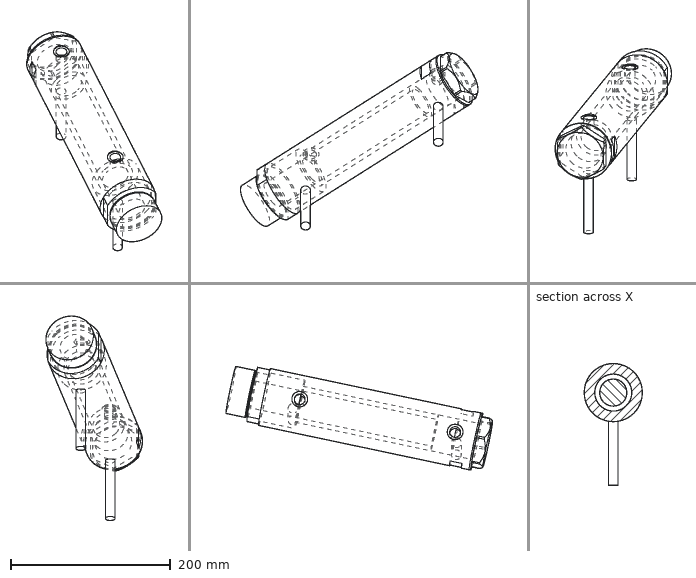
import cadquery as cq
import math


TOTAL_LENGTH = 328.5
CAP_FLANGE_START = 14.0
BARREL_START = 16.0
BARREL_END = 285.5
GLAND_END = 301.3
OUTER_RADIUS = 36.5

BORE_RADIUS = 23.0
GLAND_SEAT_RADIUS = 31.0

CAP_PORT_X = 41.7
ROD_PORT_X = 240.5
PORT_DIAMETER = 13.5
SPOTFACE_DIAMETER = 19.7
SPOTFACE_DEPTH = 1.48

PIN_X_POSITIONS = (40.0, 249.0)
PIN_DIAMETER = 12.0
PIN_BOTTOM_Z = -116.0

BARREL_FLAT_START = 26.0
BARREL_FLAT_WIDTH = 15.0
BARREL_FLAT_ACROSS = 67.0
GLAND_FLAT_ACROSS = 64.0

HEX_ACROSS_FLATS = 59.8
HEX_CORNER_RADIUS = 34.0
HEX_FACE_RADIUS = 29.5
HEX_CHAMFER_LENGTH = 4.3

ROD_RADIUS = 17.0
PISTON_LENGTH = 26.3
ROD_HEAD_RADIUS = 30.2
ROD_HEAD_CHAMFER = 1.0
ROD_HEAD_START = 303.0


def cylinder_x(start, end, radius):
    """Solid cylinder on the X axis from start to end."""
    return cq.Workplane("YZ", origin=(start, 0, 0)).circle(radius).extrude(end - start)


def cylinder_z(x, bottom, top, diameter):
    """Solid vertical cylinder centred at (x, 0)."""
    return cq.Workplane("XY", origin=(x, 0, bottom)).circle(diameter / 2).extrude(top - bottom)


def flat_cutters(start, end, across):
    """Two blocks that leave a pair of flats facing -Y and +Y."""
    depth = OUTER_RADIUS - across / 2
    offset = across / 2 + depth / 2
    block = cq.Workplane("XY").box(end - start, depth, 2 * OUTER_RADIUS)
    middle = (start + end) / 2
    return block.translate((middle, -offset, 0)).union(block.translate((middle, offset, 0)))


def make_barrel():
    barrel = cylinder_x(BARREL_START, BARREL_END, OUTER_RADIUS)
    for x in PIN_X_POSITIONS:
        barrel = barrel.union(cylinder_z(x, PIN_BOTTOM_Z, -BORE_RADIUS, PIN_DIAMETER))

    barrel = barrel.cut(cylinder_x(BARREL_START, BARREL_END, BORE_RADIUS))
    barrel = barrel.cut(cylinder_x(ROD_PORT_X, BARREL_END, GLAND_SEAT_RADIUS))

    for x in (CAP_PORT_X, ROD_PORT_X):
        barrel = barrel.cut(cylinder_z(x, 0, OUTER_RADIUS, PORT_DIAMETER))
        spotface_floor = OUTER_RADIUS - SPOTFACE_DEPTH
        barrel = barrel.cut(cylinder_z(x, spotface_floor, OUTER_RADIUS, SPOTFACE_DIAMETER))

    flat_end = BARREL_FLAT_START + BARREL_FLAT_WIDTH
    return barrel.cut(flat_cutters(BARREL_FLAT_START, flat_end, BARREL_FLAT_ACROSS))


def make_end_cap():
    across_corners = HEX_ACROSS_FLATS / math.cos(math.pi / 6)
    head = (
        cq.Workplane("YZ")
        .transformed(rotate=(0, 0, 90))
        .polygon(6, across_corners)
        .extrude(CAP_FLANGE_START)
    )
    envelope = (
        cq.Workplane("XY")
        .moveTo(0, 0)
        .lineTo(0, HEX_FACE_RADIUS)
        .lineTo(HEX_CHAMFER_LENGTH, HEX_CORNER_RADIUS)
        .lineTo(CAP_FLANGE_START, HEX_CORNER_RADIUS)
        .lineTo(CAP_FLANGE_START, 0)
        .close()
        .revolve(360, (0, 0, 0), (1, 0, 0))
    )
    flange = cylinder_x(CAP_FLANGE_START, BARREL_START, OUTER_RADIUS)
    plug = cylinder_x(BARREL_START, CAP_PORT_X, BORE_RADIUS)
    return head.intersect(envelope).union(flange).union(plug)


def make_gland():
    collar = cylinder_x(BARREL_END, GLAND_END, OUTER_RADIUS)
    collar = collar.cut(flat_cutters(BARREL_END, GLAND_END, GLAND_FLAT_ACROSS))
    plug = cylinder_x(ROD_PORT_X, BARREL_END, GLAND_SEAT_RADIUS)
    return collar.union(plug).cut(cylinder_x(ROD_PORT_X, GLAND_END, ROD_RADIUS))


def make_piston_rod():
    piston_end = CAP_PORT_X + PISTON_LENGTH
    neck_radius = ROD_HEAD_RADIUS - ROD_HEAD_CHAMFER
    return (
        cq.Workplane("XY")
        .moveTo(CAP_PORT_X, 0)
        .lineTo(CAP_PORT_X, BORE_RADIUS)
        .lineTo(piston_end, BORE_RADIUS)
        .lineTo(piston_end, ROD_RADIUS)
        .lineTo(GLAND_END, ROD_RADIUS)
        .lineTo(GLAND_END, neck_radius)
        .lineTo(ROD_HEAD_START, neck_radius)
        .lineTo(ROD_HEAD_START + ROD_HEAD_CHAMFER, ROD_HEAD_RADIUS)
        .lineTo(TOTAL_LENGTH, ROD_HEAD_RADIUS)
        .lineTo(TOTAL_LENGTH, 0)
        .close()
        .revolve(360, (0, 0, 0), (1, 0, 0))
    )


barrel = make_barrel()
end_cap = make_end_cap()
gland = make_gland()
piston_rod = make_piston_rod()

result = cq.Compound.makeCompound([barrel.val(), end_cap.val(), gland.val(), piston_rod.val()])